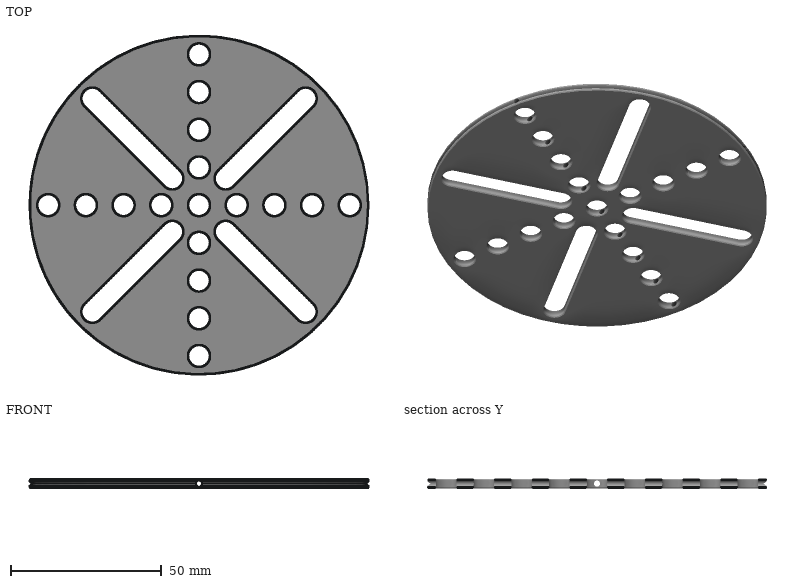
import cadquery as cq
pitch = 12.5
holes_per_arm = 4
disc_diameter = (2 * holes_per_arm + 1) * pitch
disc_radius = disc_diameter / 2
thickness = pitch / 4
edge_chamfer = 0.3

groove_width = 1.5
groove_depth = 1.0

hole_diameter = 7.0
slot_inner_radius = pitch
slot_outer_radius = holes_per_arm * pitch
slot_angles = (45, 135, 225, 315)

bore_diameter = 2.0
bore_planes = ("YZ", "XZ")

seam_angle = 22.5


def make_disc():
    return cq.Workplane("XY").circle(disc_radius).extrude(thickness / 2, both=True)


def hole_positions():
    positions = [(0, 0)]
    for step in range(1, holes_per_arm + 1):
        offset = step * pitch
        positions += [(offset, 0), (-offset, 0), (0, offset), (0, -offset)]
    return positions


def make_holes():
    return (
        cq.Workplane("XY", origin=(0, 0, -thickness / 2))
        .pushPoints(hole_positions())
        .circle(hole_diameter / 2)
        .extrude(thickness)
    )


def make_slot(angle):
    centre_distance = slot_outer_radius - slot_inner_radius
    middle_radius = (slot_inner_radius + slot_outer_radius) / 2
    return (
        cq.Workplane("XY")
        .center(middle_radius, 0)
        .slot2D(centre_distance + hole_diameter, hole_diameter)
        .extrude(thickness, both=True)
        .rotate((0, 0, 0), (0, 0, 1), angle)
    )


def make_rim_groove():
    half_width = groove_width / 2
    return (
        cq.Workplane("XZ")
        .moveTo(disc_radius, -half_width)
        .lineTo(disc_radius - groove_depth, 0)
        .lineTo(disc_radius, half_width)
        .close()
        .revolve(360, (0, 0, 0), (0, 1, 0))
        .rotate((0, 0, 0), (0, 0, 1), seam_angle)
    )


def make_cross_bore(plane):
    return (
        cq.Workplane(plane)
        .transformed(rotate=(0, 0, seam_angle))
        .circle(bore_diameter / 2)
        .extrude(disc_diameter, both=True)
    )


plate = make_disc().cut(make_holes())
for slot_angle in slot_angles:
    plate = plate.cut(make_slot(slot_angle))

plate = plate.faces("<Z or >Z").edges().chamfer(edge_chamfer)

plate = plate.cut(make_rim_groove())
for bore_plane in bore_planes:
    plate = plate.cut(make_cross_bore(bore_plane))

result = plate